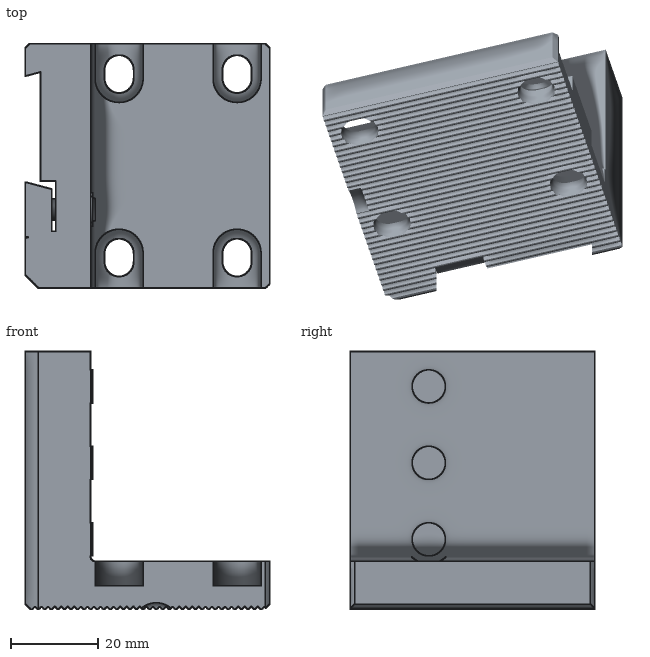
import cadquery as cq
import math

LENGTH_X = 56.0
WIDTH_Y = 56.0
HEIGHT_Z = 59.0
WALL_THICKNESS = 15.0
FOOT_THICKNESS = 11.0
INNER_CORNER_RADIUS = 1.0

BOTTOM_CHAMFER = 1.2
CORNER_CHAMFER = 1.0
WALL_FRONT_CHAMFER = 3.0

SERRATION_PITCH = 1.5
CREST_FLAT = 0.3
SERRATION_DEPTH = (SERRATION_PITCH - CREST_FLAT) / 2
FIRST_VALLEY_X = 1.5 * SERRATION_PITCH
VALLEY_COUNT = int((LENGTH_X - CORNER_CHAMFER - FIRST_VALLEY_X) / SERRATION_PITCH) + 1

RECESS_X = 30.0
RECESS_RADIUS = 5.0
RECESS_HEIGHT = 1.5
RECESS_LENGTH = 3.0

RAIL_DEPTH = 3.5
FLANK_ANGLE = 15.0
FLANK_SLOPE = math.tan(math.radians(FLANK_ANGLE))
LIP_WIDTH = 7.5
LIP_EDGE_Y = WIDTH_Y - LIP_WIDTH
RAIL_STEP_Y = 24.5

SEAT_DEPTH = 7.0
SEAT_EDGE_Y = 11.5
SEAT_SLOPE_END_X = 5.8
SEAT_FLOOR_Y = SEAT_EDGE_Y + SEAT_SLOPE_END_X * FLANK_SLOPE

CLAMP_BOTTOM_Z = 8.0
CLAMP_THICKNESS = 6.1
CLAMP_TIP_Y = 24.2
CLAMP_TIP_FLAT = 0.5
CLAMP_EDGE_GAP = 0.2
CLAMP_BACK_Y = CLAMP_TIP_Y - (CLAMP_THICKNESS - CLAMP_TIP_FLAT) * FLANK_SLOPE

SCREW_Y = 18.0
LOWEST_SCREW_Z = 16.0
SCREW_SPACING = 17.5
SCREW_COUNT = 3
SCREW_DIAMETER = 5.0
SCREW_TIP_X = CLAMP_THICKNESS / 2
HEAD_DIAMETER = 7.6
HEAD_HEIGHT = 0.45
HEAD_CLEARANCE_RADIUS = 5.6

SLOT_XS = (21.5, 48.5)
SLOT_EDGE_DISTANCE = 7.0
ALONG_Y = 90.0
SLOT_WIDTH = 6.6
SLOT_LENGTH = 8.6
POCKET_WIDTH = 11.0
POCKET_ARC_DISTANCE = SLOT_EDGE_DISTANCE + (SLOT_LENGTH - SLOT_WIDTH) / 2
POCKET_FLOOR_Z = 5.4


def make_bracket():
    """L-shaped body with a rounded inner corner and chamfered edges."""
    body = (
        cq.Workplane("XZ")
        .moveTo(0, HEIGHT_Z)
        .lineTo(0, BOTTOM_CHAMFER)
        .lineTo(BOTTOM_CHAMFER, 0)
        .lineTo(LENGTH_X - BOTTOM_CHAMFER, 0)
        .lineTo(LENGTH_X, BOTTOM_CHAMFER)
        .lineTo(LENGTH_X, FOOT_THICKNESS)
        .lineTo(WALL_THICKNESS + INNER_CORNER_RADIUS, FOOT_THICKNESS)
        .radiusArc((WALL_THICKNESS, FOOT_THICKNESS + INNER_CORNER_RADIUS), INNER_CORNER_RADIUS)
        .lineTo(WALL_THICKNESS, HEIGHT_Z)
        .close()
        .extrude(-WIDTH_Y)
    )
    plan = (
        cq.Workplane("XY")
        .moveTo(WALL_FRONT_CHAMFER, 0)
        .lineTo(LENGTH_X - CORNER_CHAMFER, 0)
        .lineTo(LENGTH_X, CORNER_CHAMFER)
        .lineTo(LENGTH_X, WIDTH_Y - CORNER_CHAMFER)
        .lineTo(LENGTH_X - CORNER_CHAMFER, WIDTH_Y)
        .lineTo(CORNER_CHAMFER, WIDTH_Y)
        .lineTo(0, WIDTH_Y - CORNER_CHAMFER)
        .lineTo(0, WALL_FRONT_CHAMFER)
        .close()
        .extrude(HEIGHT_Z)
    )
    return body.intersect(plan)


def make_serrations():
    """V grooves across the underside."""
    half_width = SERRATION_DEPTH
    grooves = cq.Workplane("XZ")
    for index in range(VALLEY_COUNT):
        valley_x = FIRST_VALLEY_X + index * SERRATION_PITCH
        grooves = (
            grooves.moveTo(valley_x - half_width, 0)
            .lineTo(valley_x, SERRATION_DEPTH)
            .lineTo(valley_x + half_width, 0)
            .close()
        )
    return grooves.extrude(-WIDTH_Y, combine=False)


def make_underside_recess():
    """Cylinder along Y whose top rises into the front bottom edge."""
    return (
        cq.Workplane("XZ")
        .center(RECESS_X, RECESS_HEIGHT - RECESS_RADIUS)
        .circle(RECESS_RADIUS)
        .extrude(-RECESS_LENGTH)
    )


def make_rail_channel():
    """Rail channel and clamp seat, cut over the full height of the wall."""
    return (
        cq.Workplane("XY")
        .moveTo(0, LIP_EDGE_Y)
        .lineTo(RAIL_DEPTH, LIP_EDGE_Y + RAIL_DEPTH * FLANK_SLOPE)
        .lineTo(RAIL_DEPTH, RAIL_STEP_Y)
        .lineTo(SEAT_DEPTH, RAIL_STEP_Y)
        .lineTo(SEAT_DEPTH, SEAT_FLOOR_Y)
        .lineTo(SEAT_SLOPE_END_X, SEAT_FLOOR_Y)
        .lineTo(0, SEAT_EDGE_Y)
        .close()
        .extrude(HEIGHT_Z)
    )


def make_clamp():
    """Clamp bar with a sloping jaw, seated on the sloping wall."""
    flat_end_x = CLAMP_EDGE_GAP / FLANK_SLOPE
    clamp_edge_y = SEAT_EDGE_Y + CLAMP_EDGE_GAP
    return (
        cq.Workplane("XY")
        .workplane(offset=CLAMP_BOTTOM_Z)
        .moveTo(0, clamp_edge_y)
        .lineTo(flat_end_x, clamp_edge_y)
        .lineTo(SEAT_SLOPE_END_X, SEAT_FLOOR_Y)
        .lineTo(CLAMP_THICKNESS, SEAT_FLOOR_Y)
        .lineTo(CLAMP_THICKNESS, CLAMP_BACK_Y)
        .lineTo(CLAMP_TIP_FLAT, CLAMP_TIP_Y)
        .lineTo(0, CLAMP_TIP_Y)
        .close()
        .extrude(HEIGHT_Z - CLAMP_BOTTOM_Z)
    )


def cylinder_along_x(z, diameter, start_x, end_x):
    """Cylinder on a screw axis between two X positions."""
    return (
        cq.Workplane("YZ")
        .workplane(offset=start_x)
        .center(SCREW_Y, z)
        .circle(diameter / 2)
        .extrude(end_x - start_x)
    )


def make_foot_cutters():
    """Through slots and the side-open pockets above them."""
    pocket_height = FOOT_THICKNESS - POCKET_FLOOR_Z
    cutters = cq.Workplane("XY")
    for x in SLOT_XS:
        for side_y, inward in ((0, 1), (WIDTH_Y, -1)):
            slot = (
                cq.Workplane("XY")
                .center(x, side_y + inward * SLOT_EDGE_DISTANCE)
                .slot2D(SLOT_LENGTH, SLOT_WIDTH, ALONG_Y)
                .extrude(FOOT_THICKNESS)
            )
            arc_y = side_y + inward * POCKET_ARC_DISTANCE
            pocket_plane = cq.Workplane("XY").workplane(offset=POCKET_FLOOR_Z)
            pocket_end = pocket_plane.center(x, arc_y).circle(POCKET_WIDTH / 2).extrude(pocket_height)
            pocket_run = (
                pocket_plane.center(x, (side_y + arc_y) / 2)
                .rect(POCKET_WIDTH, POCKET_ARC_DISTANCE)
                .extrude(pocket_height)
            )
            cutters = cutters.add(slot).add(pocket_end).add(pocket_run)
    return cutters.combine()


bracket = (
    make_bracket()
    .cut(make_serrations())
    .cut(make_underside_recess())
    .cut(make_rail_channel())
    .cut(make_foot_cutters())
)

head_clearance = cylinder_along_x(
    LOWEST_SCREW_Z,
    2 * HEAD_CLEARANCE_RADIUS,
    WALL_THICKNESS,
    WALL_THICKNESS + INNER_CORNER_RADIUS,
)
result = bracket.cut(head_clearance).union(make_clamp())

for screw_index in range(SCREW_COUNT):
    screw_z = LOWEST_SCREW_Z + screw_index * SCREW_SPACING
    shank = cylinder_along_x(screw_z, SCREW_DIAMETER, SCREW_TIP_X, WALL_THICKNESS)
    head = cylinder_along_x(screw_z, HEAD_DIAMETER, WALL_THICKNESS, WALL_THICKNESS + HEAD_HEIGHT)
    result = result.union(shank).union(head)